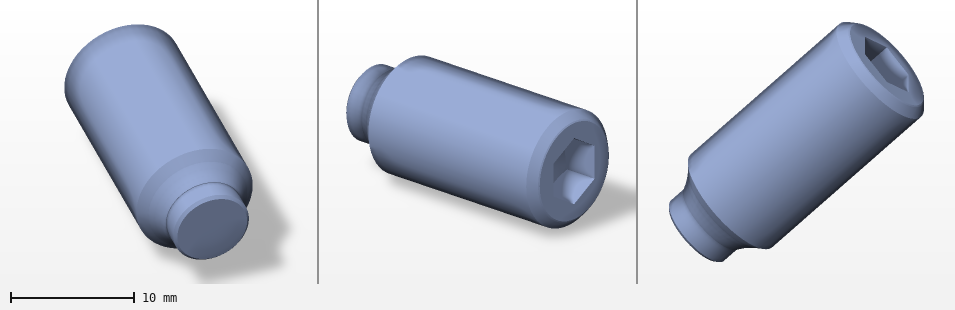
import cadquery as cq
import math

total_length = 21.9
body_radius = 5.0
face_radius = 4.2
rim_radius = 4.32
rim_length = 0.07
tip_radius = 3.25
tip_chamfer = 0.25
tip_length = 1.9
neck_start_radius = 4.25
neck_end_radius = 3.3
neck_length = 1.5
neck_curve_radius = 6.0

socket_across_flats = 5.0
socket_depth = 2.95
socket_cone_angle = 120.0
hexagon_sides = 6


def arc_midpoint(start, end, radius):
    """Middle of the arc from start to end that bows towards the axis."""
    dx = end[0] - start[0]
    dy = end[1] - start[1]
    chord = math.hypot(dx, dy)
    sagitta = radius - math.sqrt(radius**2 - (chord / 2)**2)
    middle_x = (start[0] + end[0]) / 2
    middle_y = (start[1] + end[1]) / 2
    return (middle_x + dy / chord * sagitta, middle_y - dx / chord * sagitta)


def turned_body():
    tip_start = total_length - tip_length
    neck_start = (tip_start - neck_length, neck_start_radius)
    neck_end = (tip_start, neck_end_radius)
    shoulder_start = neck_start[0] - (body_radius - neck_start_radius)
    socket_chamfer_end = rim_length + (body_radius - rim_radius)
    return (
        cq.Workplane("XY")
        .moveTo(0, 0)
        .lineTo(0, face_radius)
        .lineTo(rim_length, rim_radius)
        .lineTo(socket_chamfer_end, body_radius)
        .lineTo(shoulder_start, body_radius)
        .lineTo(*neck_start)
        .threePointArc(arc_midpoint(neck_start, neck_end, neck_curve_radius), neck_end)
        .lineTo(tip_start, tip_radius)
        .lineTo(total_length - tip_chamfer, tip_radius)
        .lineTo(total_length, tip_radius - tip_chamfer)
        .lineTo(total_length, 0)
        .close()
        .revolve(360, (0, 0, 0), (1, 0, 0))
    )


def hexagon_socket():
    """Hexagonal prism, flats facing +Y and -Y, ending in a cone as wide as its corners."""
    half_side_angle = 180 / hexagon_sides
    corner_radius = socket_across_flats / 2 / math.cos(math.radians(half_side_angle))
    cone_height = corner_radius / math.tan(math.radians(socket_cone_angle / 2))
    prism = (
        cq.Workplane("YZ")
        .polygon(hexagon_sides, 2 * corner_radius)
        .extrude(socket_depth + cone_height)
        .rotate((0, 0, 0), (1, 0, 0), half_side_angle)
    )
    drill = (
        cq.Workplane("XY")
        .moveTo(0, 0)
        .lineTo(0, corner_radius)
        .lineTo(socket_depth, corner_radius)
        .lineTo(socket_depth + cone_height, 0)
        .close()
        .revolve(360, (0, 0, 0), (1, 0, 0))
    )
    return prism.intersect(drill)


result = turned_body().cut(hexagon_socket())